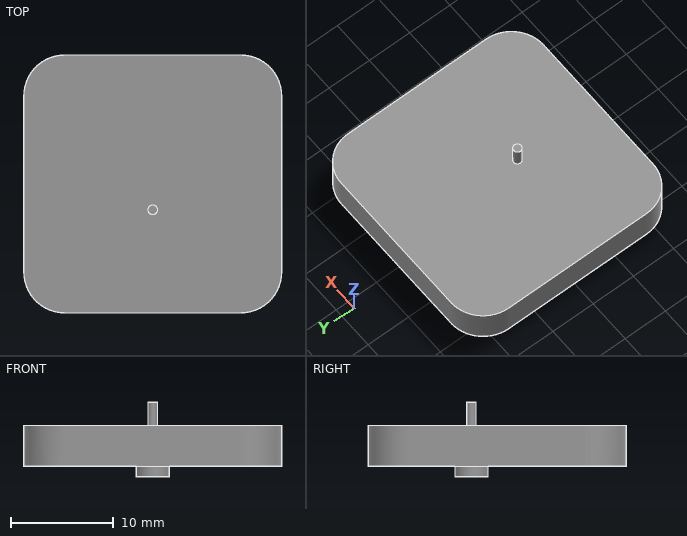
import cadquery as cq

plate_side = 25.1
plate_thickness = 4.0
corner_radius = 4.0

axis_offset_y = -2.5
pin_diameter = 0.93
pin_height = 2.25
boss_diameter = 3.25
boss_height = 1.0

plate = (
    cq.Workplane("XY")
    .rect(plate_side, plate_side)
    .extrude(plate_thickness)
    .edges("|Z")
    .fillet(corner_radius)
)

pin = (
    cq.Workplane("XY", origin=(0, axis_offset_y, plate_thickness))
    .circle(pin_diameter / 2)
    .extrude(pin_height)
)

boss = (
    cq.Workplane("XY", origin=(0, axis_offset_y, 0))
    .circle(boss_diameter / 2)
    .extrude(-boss_height)
)

result = plate.union(pin).union(boss)